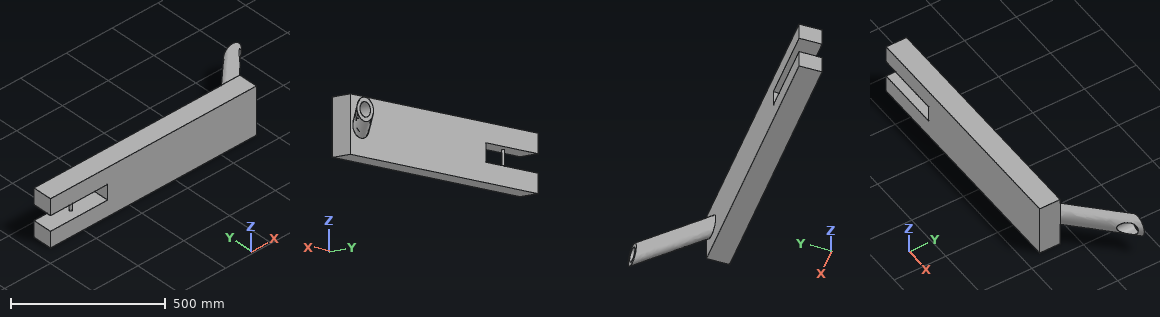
import cadquery as cq
import math

overall_length = 1090.0
overall_depth = 280.0

plate_length = 900.0
plate_thickness = 80.0
plate_height = 200.0

slot_length = 250.0
slot_height = 63.0
pin_diameter = 10.0

arm_diameter = 80.0
arm_angle = 45.0
eye_diameter = 50.0

arm_reach = overall_depth - plate_thickness
arm_end_x = overall_length - arm_diameter / 2
arm_root_x = arm_end_x - arm_reach / math.tan(math.radians(arm_angle))


def make_plate():
    plate = cq.Workplane("XY").box(
        plate_length, plate_thickness, plate_height, centered=(False, False, True)
    )
    slot = cq.Workplane("XY").box(
        slot_length, plate_thickness, slot_height, centered=(False, False, True)
    )
    return plate.cut(slot)


def make_pin():
    """Upright pin across the middle of the slot."""
    return (
        cq.Workplane("XY", origin=(slot_length / 2, plate_thickness / 2, 0))
        .circle(pin_diameter / 2)
        .extrude(slot_height / 2, both=True)
    )


def make_arm():
    """Circle parallel to the plate, carried along a slanted straight path."""
    path = (
        cq.Workplane("XY")
        .moveTo(arm_root_x, plate_thickness)
        .lineTo(arm_end_x, overall_depth)
    )
    return (
        cq.Workplane("XZ", origin=(arm_root_x, plate_thickness, 0))
        .circle(arm_diameter / 2)
        .sweep(path)
    )


def make_eye():
    """Hole square to the plate, centred on the end of the arm."""
    return (
        cq.Workplane("XZ", origin=(arm_end_x, overall_depth, 0))
        .circle(eye_diameter / 2)
        .extrude(overall_depth)
    )


arm = make_arm().cut(make_eye())
result = make_plate().union(make_pin()).union(arm)